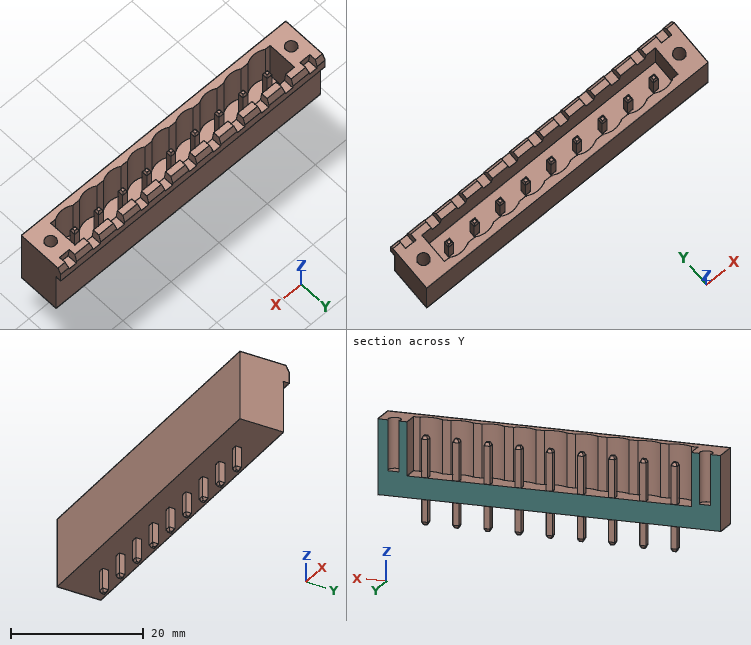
import cadquery as cq

POLE_COUNT = 9
PITCH = 5.0
LENGTH = (POLE_COUNT + 2) * PITCH
STATION_X = [(i + 0.5) * PITCH for i in range(POLE_COUNT + 2)]
POLE_X = STATION_X[1:-1]
FLANGE_X = [STATION_X[0], STATION_X[-1]]

DEPTH = 7.6
HEIGHT = 12.0
CENTER_Y = DEPTH / 2
LIP_OVERHANG = 1.0
LIP_HEIGHT = 3.0
LIP_CHAMFER_Y = 0.6
LIP_CHAMFER_Z = 1.1

CAVITY_END_WALL = 4.7
CAVITY_BACK_Y = 6.8
CAVITY_FRONT_Y = 1.5
CAVITY_FLOOR_Z = 3.5
SCALLOP_CHORD = 3.6
SCALLOP_DEPTH = 0.5

NOTCH_TOP_WIDTH = 2.0
NOTCH_BOTTOM_WIDTH = 1.5
NOTCH_DEPTH = 1.5

SCREW_HOLE_DIAMETER = 2.0
SCREW_HOLE_DEPTH = 8.0

PIN_WIDTH = 1.0
PIN_TOP_Z = 10.0
PIN_BOTTOM_Z = -4.0
PIN_TIP_LENGTH = 0.5
PIN_TIP_INSET = 0.25


def make_housing():
    """Long block with an overhanging, bevelled lip along its rear top edge."""
    lip_y = DEPTH + LIP_OVERHANG
    profile = [
        (0, 0),
        (DEPTH, 0),
        (DEPTH, HEIGHT - LIP_HEIGHT),
        (lip_y, HEIGHT - LIP_HEIGHT),
        (lip_y, HEIGHT - LIP_CHAMFER_Z),
        (lip_y - LIP_CHAMFER_Y, HEIGHT),
        (0, HEIGHT),
    ]
    return cq.Workplane("YZ").polyline(profile).close().extrude(LENGTH)


def make_cavity():
    """Plug space whose front wall is scalloped once per pole."""
    outline = cq.Workplane("XY", origin=(0, 0, CAVITY_FLOOR_Z))
    outline = outline.moveTo(CAVITY_END_WALL, CAVITY_BACK_Y)
    outline = outline.lineTo(CAVITY_END_WALL, CAVITY_FRONT_Y)
    for x in POLE_X:
        outline = outline.lineTo(x - SCALLOP_CHORD / 2, CAVITY_FRONT_Y)
        outline = outline.threePointArc(
            (x, CAVITY_FRONT_Y - SCALLOP_DEPTH),
            (x + SCALLOP_CHORD / 2, CAVITY_FRONT_Y),
        )
    outline = outline.lineTo(LENGTH - CAVITY_END_WALL, CAVITY_FRONT_Y)
    outline = outline.lineTo(LENGTH - CAVITY_END_WALL, CAVITY_BACK_Y)
    return outline.close().extrude(HEIGHT - CAVITY_FLOOR_Z)


def make_notch(x):
    """Tapered notch running from the cavity's rear wall out through the lip."""
    profile = [
        (x - NOTCH_TOP_WIDTH / 2, HEIGHT),
        (x - NOTCH_BOTTOM_WIDTH / 2, HEIGHT - NOTCH_DEPTH),
        (x + NOTCH_BOTTOM_WIDTH / 2, HEIGHT - NOTCH_DEPTH),
        (x + NOTCH_TOP_WIDTH / 2, HEIGHT),
    ]
    run = DEPTH + LIP_OVERHANG - CAVITY_BACK_Y
    plane = cq.Workplane("XZ", origin=(0, CAVITY_BACK_Y, 0))
    return plane.polyline(profile).close().extrude(-run)


def make_screw_hole(x):
    """Blind round hole in a flange, open at the top."""
    plane = cq.Workplane("XY", origin=(x, CENTER_Y, HEIGHT))
    return plane.circle(SCREW_HOLE_DIAMETER / 2).extrude(-SCREW_HOLE_DEPTH)


def make_pin_tip(x, base_z, rise):
    """Square pyramid frustum narrowing from base_z by the signed length rise."""
    end_width = PIN_WIDTH - 2 * PIN_TIP_INSET
    tip = cq.Workplane("XY", origin=(x, CENTER_Y, base_z)).rect(PIN_WIDTH, PIN_WIDTH)
    return tip.workplane(offset=rise).rect(end_width, end_width).loft()


def make_pin(x):
    """Square contact pin with a tapered tip at both ends."""
    shank_bottom_z = PIN_BOTTOM_Z + PIN_TIP_LENGTH
    shank_top_z = PIN_TOP_Z - PIN_TIP_LENGTH
    shank = cq.Workplane("XY", origin=(x, CENTER_Y, shank_bottom_z))
    shank = shank.rect(PIN_WIDTH, PIN_WIDTH).extrude(shank_top_z - shank_bottom_z)
    pin = shank.union(make_pin_tip(x, shank_bottom_z, -PIN_TIP_LENGTH))
    return pin.union(make_pin_tip(x, shank_top_z, PIN_TIP_LENGTH))


result = make_housing().cut(make_cavity())
for station in STATION_X:
    result = result.cut(make_notch(station))
for flange in FLANGE_X:
    result = result.cut(make_screw_hole(flange))
for pole in POLE_X:
    result = result.union(make_pin(pole))